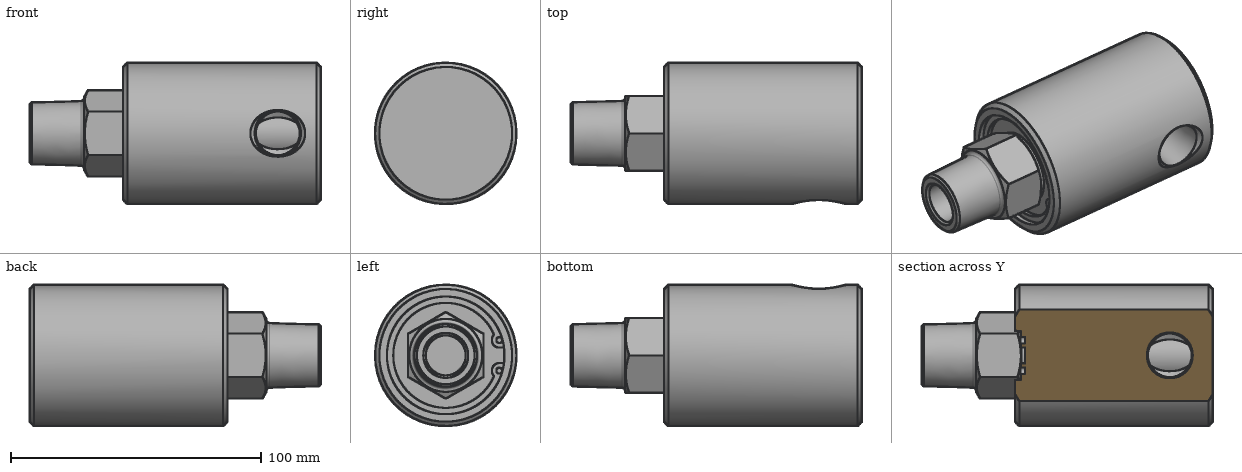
import cadquery as cq
import math


total_length = 116.41
body_start = 37.3

body_diameter = 56.6
body_chamfer = 1.75

stub_tip_diameter = 25.0
stub_root_diameter = 26.0
stub_tip_chamfer = 0.95
stub_length = 20.5
stub_fillet = 1.3

hex_across_flats = 30.0
hex_start = stub_length + stub_fillet
hex_end = 39.9
collar_diameter = 29.2
hex_face_diameter = 29.2
hex_chamfer_angle = 30.0

bore_diameter = 16.0
bore_chamfer = 1.0
bore_depth = 60.0

recess_diameter = 47.06
ring_inner_diameter = 42.0
ring_thickness = 1.75
ring_setback = 2.25
recess_floor = body_start + ring_setback + ring_thickness
ear_hole_diameter = 2.36
ear_diameter = 6.0
ear_y = -21.4
ear_z = 6.1

port_x = 99.2
port_mouth_diameter = 21.9
port_outer_diameter = 18.5
port_inner_diameter = 17.48
port_depth_radius = 9.15
drill_point_angle = 118.0
core_diameter = 20.0


def x_cylinder(diameter, start, end):
    """Cylinder along X between two stations."""
    return cq.Workplane("YZ", origin=(start, 0, 0)).circle(diameter / 2).extrude(end - start)


def revolve_about_x(points):
    """Solid of revolution about X from (x, radius) points."""
    return cq.Workplane("XY").polyline(points).close().revolve(360, (0, 0, 0), (1, 0, 0))


def make_body():
    """Chamfered cylinder with the retaining ring recess in its -X end."""
    body = x_cylinder(body_diameter, body_start, total_length)
    body = body.faces("<X or >X").chamfer(body_chamfer)
    return body.cut(x_cylinder(recess_diameter, body_start, recess_floor))


def make_ring():
    """Open retaining ring with two pierced ears beside its gap on the -Y side."""
    start = body_start + ring_setback
    plane = cq.Workplane("YZ", origin=(start, 0, 0))

    def disc(diameter, y=0, z=0):
        return plane.center(y, z).circle(diameter / 2).extrude(ring_thickness)

    def block(y_min, y_max, z, height):
        center_y = (y_min + y_max) / 2
        return plane.center(center_y, z).rect(y_max - y_min, height).extrude(ring_thickness)

    recess_radius = recess_diameter / 2
    gap_width = 2 * ear_z - ear_diameter
    ring = disc(recess_diameter).cut(disc(ring_inner_diameter))
    ring = ring.cut(block(-recess_radius, ear_y + ear_diameter, 0, gap_width))
    for z in (-ear_z, ear_z):
        ear = disc(ear_diameter, ear_y, z)
        ear = ear.union(block(-recess_radius, ear_y, z, ear_diameter))
        ring = ring.union(ear.intersect(disc(recess_diameter)))
        ring = ring.cut(disc(ear_hole_diameter, ear_y, z))
    return ring


def make_hexagon():
    """Hexagon with two corners on Z, its corners bevelled at both ends."""
    corner_radius = hex_across_flats / math.sqrt(3)
    face_radius = hex_face_diameter / 2
    drop = (corner_radius - face_radius) * math.tan(math.radians(hex_chamfer_angle))
    prism = (cq.Workplane("YZ", origin=(hex_start, 0, 0))
             .polygon(6, 2 * corner_radius).extrude(hex_end - hex_start)
             .rotate((0, 0, 0), (1, 0, 0), 90))
    envelope = revolve_about_x([
        (hex_start, 0),
        (hex_start, face_radius),
        (hex_start + drop, corner_radius),
        (hex_end - drop, corner_radius),
        (hex_end, face_radius),
        (hex_end, 0),
    ])
    return prism.intersect(envelope)


def make_stub():
    """Tapered stub with a chamfered tip and a fillet into the hexagon."""
    tip = stub_tip_diameter / 2
    root = stub_root_diameter / 2
    diagonal = stub_fillet * math.sqrt(0.5)
    profile = (cq.Workplane("XY")
               .lineTo(0, tip - stub_tip_chamfer)
               .lineTo(stub_tip_chamfer, tip)
               .lineTo(stub_length, root)
               .threePointArc((stub_length + diagonal, root + stub_fillet - diagonal),
                              (hex_start, root + stub_fillet))
               .lineTo(hex_start, 0)
               .close())
    return profile.revolve(360, (0, 0, 0), (1, 0, 0))


def make_bore():
    """Blind axial bore with a chamfered mouth."""
    radius = bore_diameter / 2
    return revolve_about_x([
        (0, 0),
        (0, radius + bore_chamfer),
        (bore_chamfer, radius),
        (bore_depth, radius),
        (bore_depth, 0),
    ])


def make_port():
    """Tapered radial port with a drill-point floor that stops on the round core."""
    body_radius = body_diameter / 2
    mouth_radius = port_mouth_diameter / 2
    outer_radius = port_outer_diameter / 2
    inner_radius = port_inner_diameter / 2
    chamfer = mouth_radius - outer_radius
    tip_length = inner_radius / math.tan(math.radians(drill_point_angle / 2))
    profile = (cq.Workplane("XY", origin=(port_x, 0, 0))
               .polyline([
                   (0, -body_radius),
                   (mouth_radius, -body_radius),
                   (outer_radius, -body_radius + chamfer),
                   (inner_radius, -port_depth_radius),
                   (0, -port_depth_radius + tip_length),
               ]).close())
    port = profile.revolve(360, (0, 0, 0), (0, 1, 0))
    return port.cut(x_cylinder(core_diameter, body_start, total_length))


collar = x_cylinder(collar_diameter, hex_end, recess_floor)
result = (
    make_body()
    .union(make_ring())
    .union(collar)
    .union(make_hexagon())
    .union(make_stub())
    .cut(make_bore())
    .cut(make_port())
)